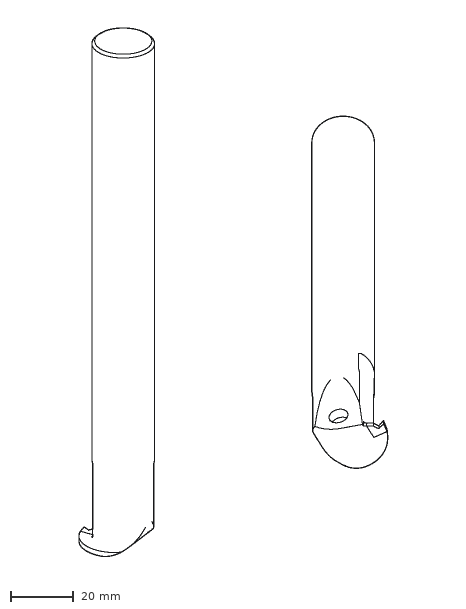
import cadquery as cq
import math

total_width = 24.5
total_depth = 21.8
total_height = 180.0

shank_diameter = 20.0
shank_radius = shank_diameter / 2
shank_top_chamfer = 0.9
neck_radius = 9.7
shoulder_height = 29.0
shoulder_taper_height = 1.0

flat_height = 40.0
flat_half_width = 5.4
flat_x = -math.sqrt(shank_radius**2 - flat_half_width**2)
flat_end_fillet = 1.0

bar_bottom = 0.4
blade_top = 2.2
blade_height = blade_top - bar_bottom
blade_radius = 11.5
blade_center_x = -2.9
blade_center_y = shank_radius - total_depth + blade_radius
blade_root_fillet = 0.9

tip_x = shank_radius - total_width
tip_y = 0.0
notch_x = -12.2
notch_y = -1.0
heel_x = -11.2
heel_y = 0.5
seat_y = -3.2
seat_inner_x = flat_x - blade_root_fillet
seat_outer_x = blade_center_x - math.sqrt(blade_radius**2 - (seat_y - blade_center_y) ** 2)

nose_slope = 0.2

back_y_at_flat = 2.2
back_slope = (back_y_at_flat - heel_y) / (flat_x - heel_x)
seat_back_y = heel_y + back_slope * (seat_inner_x - heel_x)

relief_radius = 11.2
relief_start_x = neck_radius - relief_radius

gullet_y = 5.0
gullet_rise = 0.21
gullet_skew = 0.28

hole_diameter = 6.1
hole_depth = 3.6
hole_x = -1.5
hole_z = 6.1

reach = 36.0

selection_gap = 0.2


def make_round_bar():
    shank_start = shoulder_height + shoulder_taper_height
    return (
        cq.Workplane("XZ")
        .moveTo(0, bar_bottom)
        .lineTo(neck_radius, bar_bottom)
        .lineTo(neck_radius, shoulder_height)
        .lineTo(shank_radius, shank_start)
        .lineTo(shank_radius, total_height - shank_top_chamfer)
        .lineTo(shank_radius - shank_top_chamfer, total_height)
        .lineTo(0, total_height)
        .close()
        .revolve(360, (0, 0, 0), (0, 1, 0))
    )


def make_flat_cutter():
    return (
        cq.Workplane("XY")
        .box(reach, 2 * reach, reach + flat_height, centered=(False, True, False))
        .translate((flat_x - reach, 0, -reach))
        .edges(">X and >Z")
        .fillet(flat_end_fillet)
    )


def make_blade():
    disc = (
        cq.Workplane("XY", origin=(blade_center_x, blade_center_y, bar_bottom))
        .circle(blade_radius)
        .extrude(blade_height)
    )
    kept_area = (
        cq.Workplane("XY", origin=(0, 0, bar_bottom))
        .moveTo(-reach, seat_y)
        .lineTo(seat_inner_x, seat_y)
        .lineTo(seat_inner_x, seat_back_y)
        .lineTo(flat_x, back_y_at_flat)
        .lineTo(reach, back_y_at_flat)
        .lineTo(reach, -reach)
        .lineTo(-reach, -reach)
        .close()
        .extrude(blade_height)
    )
    return disc.intersect(kept_area)


def make_relief_cutter():
    return (
        cq.Workplane("XZ")
        .moveTo(relief_start_x, bar_bottom)
        .radiusArc((neck_radius, bar_bottom + relief_radius), -relief_radius)
        .lineTo(reach, bar_bottom + relief_radius)
        .lineTo(reach, -reach)
        .lineTo(relief_start_x, -reach)
        .close()
        .extrude(reach, both=True)
    )


def gullet_plane(x, z):
    y = gullet_y + gullet_rise * z + gullet_skew * x
    return cq.Plane(
        origin=(x, y, z),
        xDir=(1, gullet_skew, 0),
        normal=(-gullet_skew, 1, -gullet_rise),
    )


def make_gullet_cutter():
    gullet = cq.Workplane(gullet_plane(0, 0)).rect(2 * reach, 2 * reach).extrude(reach)
    hole = cq.Workplane(gullet_plane(hole_x, hole_z)).circle(hole_diameter / 2).extrude(-hole_depth)
    return gullet.union(hole)


def fillet_blade_root(bar):
    root_edges = cq.selectors.BoxSelector(
        (flat_x - selection_gap, -neck_radius - selection_gap, blade_top - selection_gap),
        (neck_radius + selection_gap, back_y_at_flat + selection_gap, blade_top + selection_gap),
        boundingbox=True,
    )
    return bar.edges(root_edges).fillet(blade_root_fillet)


def make_bar():
    bar = make_round_bar().cut(make_flat_cutter()).union(make_blade())
    return fillet_blade_root(bar).cut(make_relief_cutter()).cut(make_gullet_cutter())


def make_tip():
    prism = (
        cq.Workplane("XY")
        .moveTo(tip_x, tip_y)
        .lineTo(notch_x, notch_y)
        .lineTo(heel_x, heel_y)
        .lineTo(seat_inner_x, seat_back_y)
        .lineTo(seat_inner_x, seat_y)
        .lineTo(seat_outer_x, seat_y)
        .close()
        .extrude(blade_top)
    )
    nose_plane = cq.Plane(
        origin=(tip_x, tip_y, 0),
        xDir=(1, 1, 0),
        normal=(nose_slope, -nose_slope, -1),
    )
    below_nose = cq.Workplane(nose_plane).rect(2 * reach, 2 * reach).extrude(reach)
    below_blade = cq.Workplane("XY", origin=(0, 0, bar_bottom)).rect(2 * reach, 2 * reach).extrude(-reach)
    return prism.cut(below_nose.intersect(below_blade))


bar = make_bar()
tip = make_tip()
result = cq.Compound.makeCompound([bar.val(), tip.val()])